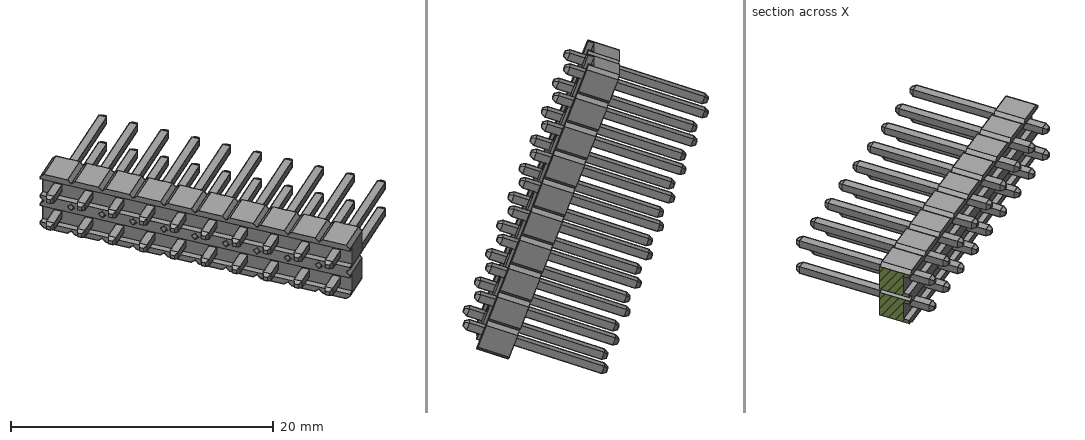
import cadquery as cq

columns = 10
rows = 2
pitch = 2.54

body_depth = pitch
corner_chamfer = 0.3
groove_wall = 0.5
groove_width = pitch - 2 * groove_wall
groove_depth = 0.48

pin_width = 0.64
pin_length = 11.6
tail_length = 1.48
tip_length = 0.34
tip_width = 0.34

body_front = -body_depth / 2
pin_front = body_front - tail_length
pin_center_y = pin_front + pin_length / 2

column_positions = [(i - (columns - 1) / 2) * pitch for i in range(columns)]
row_positions = [(i - (rows - 1) / 2) * pitch for i in range(rows)]


def make_cell():
    """One block of the body, with its four long edges chamfered."""
    return cq.Workplane("XY").box(pitch, body_depth, pitch).edges("|Y").chamfer(corner_chamfer)


def make_groove():
    """Straight channel along X in the front face, open at both ends."""
    groove_center_y = body_front + groove_depth / 2
    return (
        cq.Workplane("XY")
        .box(columns * pitch, groove_depth, groove_width)
        .translate((0, groove_center_y, 0))
    )


def make_tip(base_y, direction):
    """Tapered pin end, growing from base_y toward +Y (direction 1) or -Y (direction -1)."""
    base = cq.Plane(origin=(0, base_y, 0), xDir=(1, 0, 0), normal=(0, direction, 0))
    return (
        cq.Workplane(base)
        .rect(pin_width, pin_width)
        .workplane(offset=tip_length)
        .rect(tip_width, tip_width)
        .loft(ruled=True)
    )


def make_pin():
    """Square pin through the body, both ends tapered to a smaller square."""
    shaft = (
        cq.Workplane("XY")
        .box(pin_width, pin_length - 2 * tip_length, pin_width)
        .translate((0, pin_center_y, 0))
    )
    front_tip = make_tip(pin_front + tip_length, -1)
    back_tip = make_tip(pin_front + pin_length - tip_length, 1)
    return shaft.union(front_tip).union(back_tip)


def copies_at(shape, places):
    """Copies of a shape moved to each (x, z) place, fused into one."""
    solid = shape.val()
    moved = [solid.translate(cq.Vector(x, 0, z)) for x, z in places]
    return cq.Workplane("XY").newObject([moved[0].fuse(*moved[1:])])


pin_places = [(x, z) for x in column_positions for z in row_positions]

body = copies_at(make_cell(), pin_places).clean()
for row_z in row_positions:
    body = body.cut(make_groove().translate((0, 0, row_z)))

pin = make_pin()
for x, z in pin_places:
    body = body.union(pin.translate((x, 0, z)))

result = body